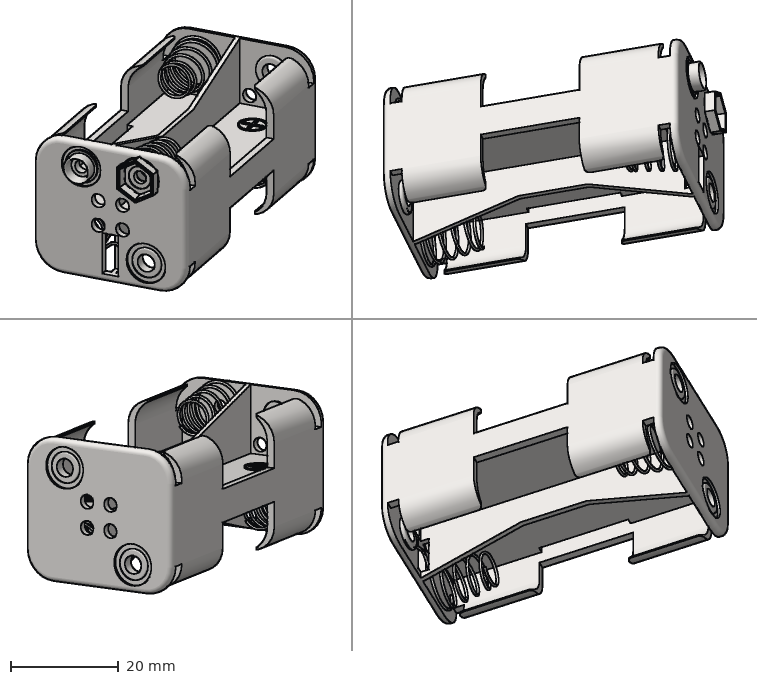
import cadquery as cq
import math

WIDTH = 31.37
HEIGHT = 27.5
LENGTH = 57.15
PLATE = 1.5
CORNER_RADIUS = 5.75
EDGE_RADIUS = 1.0
SIDE = 1.5
FLOOR = 1.2
DIVIDER = 1.0
OVERLAP = 0.2

HALF_LENGTH = LENGTH / 2
WALL_Y = HALF_LENGTH - PLATE
HALF_WIDTH = WIDTH / 2
SIDE_INNER = HALF_WIDTH - SIDE
HALF_HEIGHT = HEIGHT / 2

SIDE_STRAIGHT = HALF_HEIGHT - CORNER_RADIUS
BAND_HALF_HEIGHT = 3.2
LIP_START = 9.55
LIP_END = 24.85
LIP_RADIUS = 5.0
LIP_TIP_X = 11.4
LIP_TIP_THICKNESS = 0.3
LIP_CORNER = 1.0
NOTCH_FLOOR = 7.45

DIVIDER_FLAT_Y = 6.7
DIVIDER_LOW_Z = 7.4
SLIT_LENGTH = 18.1
SLIT_WIDTH = 1.15

VENT_DIAMETER = 2.7
VENT_SPACING = 5.0

BRIDGE_SLOT_WIDTH = 3.25
BRIDGE_SLOT_TOP = -3.9
BRIDGE_SLOT_BOTTOM = -12.15
BRIDGE_SLOT_DEPTH = 1.6

MARK_OUTER = 5.5
MARK_INNER = 5.0
MARK_ARM = 4.1
MARK_STROKE = 0.5
MARK_HEIGHT = 0.2
MARK_CENTRES = [(6.95, 18.9), (-7.4, -18.2)]

SNAP_X = 6.0
SNAP_Z = 8.75
SNAP_HEIGHT = 2.0
SNAP_FLANGE = 6.5
SNAP_HOLE = 2.5
RECESS_DIAMETER = 8.0
RECESS_DEPTH = 0.5
STUD_DIAMETER = 5.5
STUD_MOUTH = 4.5
STUD_FLOOR = 4.0
STUD_HEAD_DIAMETER = 5.0
STUD_HEAD_THICKNESS = 0.35
HEX_FLATS = 7.5
HEX_POCKET_FLATS = 6.45
HEX_POCKET_TAPER = 7.0
HEX_DISH_DIAMETER = 4.5
HEX_DISH_DEPTH = 0.2
HEX_CHAMFER = 0.1

WIRE_RADIUS = 0.25
WIRE_CLEARANCE = 0.02
COIL_BASE_RADIUS = 4.82
COIL_TIP_RADIUS = 3.2
COIL_RISE = 10.0
COIL_TURNS = 4
COIL_CLIMB_START = 0.2
COIL_LEAD_TURNS = 0.75
COIL_END_TURNS = 0.7
COIL_POINTS_PER_TURN = 16
COIL_X = 8.1
COIL_Z = 7.6

EYELET_X = 7.3
EYELET_Z = 8.4
EYELET_HOLE = 3.5
EYELET_SHANK = 4.5
EYELET_HEAD = 6.5
EYELET_HEAD_THICKNESS = 0.9
EYELET_HEAD_ROUND = 0.4
EYELET_RIM = 6.0
EYELET_RIM_THICKNESS = 0.4
EYELET_RIM_ROUND = 0.3
EYELET_JOIN_RADIUS = 2.5

BRIDGE_PEAK_Z = -6.45
BRIDGE_PEAK_HALF = 0.47
CROSS_COIL_END = (-3.4, -8.9)
CROSS_EYELET_END = (4.85, -9.0)
DOWN_WIRE_X = 7.7
PASSAGE_WIDTH = 0.8
PASSAGE_DEPTH = 0.8


def block(x0, x1, y0, y1, z0, z1):
    """Box between two opposite corners."""
    return cq.Workplane("XY").box(x1 - x0, y1 - y0, z1 - z0, centered=False).translate((x0, y0, z0))


def rod(x, z, diameter, y0, y1):
    """Cylinder along Y between y0 and y1."""
    return cq.Workplane("XZ", origin=(x, y0, z)).circle(diameter / 2).extrude(-(y1 - y0))


def hexagon(x, z, flats, y0, y1, taper=0):
    """Hexagonal prism along Y with corners at top and bottom, narrowing toward y1 by the taper."""
    across_corners = flats / math.cos(math.pi / 6)
    prism = cq.Workplane("XZ").polygon(6, across_corners).extrude(-(y1 - y0), taper=taper)
    return prism.rotate((0, 0, 0), (0, 1, 0), 30).translate((x, y0, z))


def end_plate():
    """Front end plate with a rounded outer rim."""
    plate = block(-HALF_WIDTH, HALF_WIDTH, -HALF_LENGTH, -WALL_Y, -HALF_HEIGHT, HALF_HEIGHT)
    return plate.edges("|Y").fillet(CORNER_RADIUS).faces("<Y").edges().fillet(EDGE_RADIUS)


def side_wall():
    """Right side wall with a low middle and open upper corners at the plates."""
    wall = block(SIDE_INNER, HALF_WIDTH, -WALL_Y, WALL_Y, -SIDE_STRAIGHT, SIDE_STRAIGHT)
    for side in (1, -1):
        z0, z1 = sorted((side * BAND_HALF_HEIGHT, side * HALF_HEIGHT))
        wall = wall.cut(block(SIDE_INNER, HALF_WIDTH, -LIP_START, LIP_START, z0, z1))
        y0, y1 = sorted((side * LIP_END, side * WALL_Y))
        wall = wall.cut(block(SIDE_INNER, HALF_WIDTH, y0, y1, NOTCH_FLOOR, HALF_HEIGHT))
    return wall


def lip():
    """Curved grip lip at the upper right rear."""
    centre_x = HALF_WIDTH - LIP_RADIUS
    tip_rise = math.sqrt(LIP_RADIUS**2 - (LIP_TIP_X - centre_x) ** 2)
    inner_rise = tip_rise - LIP_TIP_THICKNESS
    root_z = SIDE_STRAIGHT
    profile = (
        cq.Workplane("XZ", origin=(0, LIP_START, 0))
        .moveTo(SIDE_INNER, root_z - OVERLAP)
        .lineTo(HALF_WIDTH, root_z - OVERLAP)
        .lineTo(HALF_WIDTH, root_z)
        .tangentArcPoint((LIP_TIP_X, root_z + tip_rise), relative=False)
        .lineTo(LIP_TIP_X, root_z + inner_rise)
    )
    inner_run = SIDE_INNER - LIP_TIP_X
    inner_radius = (inner_run**2 + inner_rise**2) / (2 * inner_run)
    half_sweep = math.asin(inner_rise / inner_radius) / 2
    inner_middle = (
        SIDE_INNER - inner_radius * (1 - math.cos(half_sweep)),
        root_z + inner_radius * math.sin(half_sweep),
    )
    profile = profile.threePointArc(inner_middle, (SIDE_INNER, root_z)).close()
    return profile.extrude(-(LIP_END - LIP_START)).edges("|Z and <X").fillet(LIP_CORNER)


def divider():
    """Upright wall along the middle, low at mid length and full height at the plates."""
    corners = [
        (-WALL_Y, HALF_HEIGHT),
        (-DIVIDER_FLAT_Y, DIVIDER_LOW_Z),
        (DIVIDER_FLAT_Y, DIVIDER_LOW_Z),
        (WALL_Y, HALF_HEIGHT),
    ]
    underside = [(y, -z) for y, z in reversed(corners)]
    return cq.Workplane("YZ").polyline(corners + underside).close().extrude(DIVIDER / 2, both=True)


def plus_mark(x, y):
    """Raised ring with a plus sign on the floor."""
    mark = cq.Workplane("XY").circle(MARK_OUTER / 2).circle(MARK_INNER / 2).extrude(MARK_HEIGHT + OVERLAP)
    for length, width in ((MARK_ARM, MARK_STROKE), (MARK_STROKE, MARK_ARM)):
        mark = mark.union(cq.Workplane("XY").rect(length, width).extrude(MARK_HEIGHT + OVERLAP))
    return mark.translate((x, y, FLOOR / 2 - OVERLAP))


def add_snap_base(body, x):
    """Round recess in the front plate, with the flange that carries a snap."""
    body = body.cut(rod(x, SNAP_Z, RECESS_DIAMETER, -HALF_LENGTH, -HALF_LENGTH + RECESS_DEPTH))
    return body.union(rod(x, SNAP_Z, SNAP_FLANGE, -HALF_LENGTH, -WALL_Y))


def add_stud(body):
    """Male snap: round stud with a bore and a thin head inside the housing."""
    body = add_snap_base(body, -SNAP_X)
    outer = STUD_DIAMETER / 2
    mouth = STUD_MOUTH / 2
    rim_radius = (outer - mouth) / 2
    stud = (
        cq.Workplane("XY")
        .moveTo(STUD_FLOOR / 2, 0)
        .lineTo(mouth, rim_radius - SNAP_HEIGHT)
        .threePointArc((mouth + rim_radius, -SNAP_HEIGHT), (outer, rim_radius - SNAP_HEIGHT))
        .lineTo(outer, PLATE)
        .lineTo(STUD_FLOOR / 2, PLATE)
        .close()
        .revolve(360, (0, 0, 0), (0, 1, 0))
        .translate((-SNAP_X, -HALF_LENGTH, SNAP_Z))
    )
    head_y = -WALL_Y + STUD_HEAD_THICKNESS
    head = rod(-SNAP_X, SNAP_Z, STUD_HEAD_DIAMETER, -HALF_LENGTH + RECESS_DEPTH, head_y)
    return body.union(stud).union(head).cut(rod(-SNAP_X, SNAP_Z, SNAP_HOLE, -HALF_LENGTH, head_y))


def add_socket(body):
    """Female snap: hollow hexagon with a shallow dish and a hole in its floor."""
    tip_y = -HALF_LENGTH - SNAP_HEIGHT
    body = add_snap_base(body, SNAP_X)
    socket = hexagon(SNAP_X, SNAP_Z, HEX_FLATS, tip_y, -HALF_LENGTH)
    pocket = hexagon(SNAP_X, SNAP_Z, HEX_POCKET_FLATS, tip_y, -HALF_LENGTH, HEX_POCKET_TAPER)
    socket = socket.cut(pocket)
    socket = socket.faces("<Y").edges().chamfer(HEX_CHAMFER)
    body = body.union(socket)
    body = body.cut(rod(SNAP_X, SNAP_Z, HEX_DISH_DIAMETER, -HALF_LENGTH, -HALF_LENGTH + HEX_DISH_DEPTH))
    return body.cut(rod(SNAP_X, SNAP_Z, SNAP_HOLE, tip_y, -WALL_Y))


def eyelet_seat():
    """Hole and outside recess for an eyelet in the front plate, centred on Y."""
    seat = rod(0, 0, RECESS_DIAMETER, -HALF_LENGTH, -HALF_LENGTH + RECESS_DEPTH)
    return seat.union(rod(0, 0, EYELET_SHANK, -HALF_LENGTH, -WALL_Y))


def build_housing():
    front_plate = end_plate()
    body = front_plate.union(front_plate.mirror("XZ"))
    body = body.union(block(-SIDE_INNER, SIDE_INNER, -WALL_Y, WALL_Y, -FLOOR / 2, FLOOR / 2))
    body = body.union(divider())

    wall = side_wall()
    body = body.union(wall).union(wall.mirror("YZ"))
    upper_lips = lip().union(lip().mirror("XZ"))
    upper_lips = upper_lips.union(upper_lips.mirror("YZ"))
    body = body.union(upper_lips).union(upper_lips.mirror("XY"))

    slit = block(SIDE_INNER - SLIT_WIDTH, SIDE_INNER, -SLIT_LENGTH / 2, SLIT_LENGTH / 2, -FLOOR, FLOOR)
    body = body.cut(slit).cut(slit.mirror("YZ"))

    for x in (-VENT_SPACING / 2, VENT_SPACING / 2):
        for z in (-VENT_SPACING / 2, VENT_SPACING / 2):
            body = body.cut(rod(x, z, VENT_DIAMETER, -HALF_LENGTH, -WALL_Y))
            body = body.cut(rod(x, z, VENT_DIAMETER, WALL_Y, HALF_LENGTH))

    body = body.cut(block(
        -BRIDGE_SLOT_WIDTH / 2, BRIDGE_SLOT_WIDTH / 2,
        -HALF_LENGTH, -WALL_Y + BRIDGE_SLOT_DEPTH,
        BRIDGE_SLOT_BOTTOM, BRIDGE_SLOT_TOP,
    ))
    for x, y in MARK_CENTRES:
        body = body.union(plus_mark(x, y))

    body = add_socket(add_stud(body))

    rear_seat = eyelet_seat().mirror("XZ")
    body = body.cut(eyelet_seat().translate((EYELET_X, 0, -EYELET_Z)))
    for side in (-1, 1):
        body = body.cut(rear_seat.translate((side * EYELET_X, 0, side * EYELET_Z)))
        x = side * DOWN_WIRE_X
        half = PASSAGE_WIDTH / 2
        body = body.cut(block(x - half, x + half, WALL_Y - PASSAGE_DEPTH, WALL_Y, -FLOOR, FLOOR))
    return body


WIRE_Y = -WALL_Y + WIRE_CLEARANCE + WIRE_RADIUS


def coil_spring(x, z, hand=1):
    """Tapered spring on the inside of the front plate; hand -1 winds it the other way."""
    def centre_at(turn):
        climb = min(max(turn / COIL_TURNS, 0), 1)
        radius = COIL_BASE_RADIUS + (COIL_TIP_RADIUS - COIL_BASE_RADIUS) * climb
        angle = hand * 2 * math.pi * (turn + COIL_CLIMB_START)
        return cq.Vector(
            x + radius * math.cos(angle),
            WIRE_Y + COIL_RISE * climb,
            z + radius * math.sin(angle),
        )

    turns = COIL_LEAD_TURNS + COIL_TURNS + COIL_END_TURNS
    steps = round(turns * COIL_POINTS_PER_TURN)
    points = [centre_at(-COIL_LEAD_TURNS + turns * step / steps) for step in range(steps + 1)]
    path = cq.Edge.makeSpline(points)
    section = cq.Workplane(cq.Plane(points[0], normal=path.tangentAt(0))).circle(WIRE_RADIUS)
    return section.sweep(cq.Workplane(path), isFrenet=True)


def eyelet(x, z):
    """Hollow eyelet clinched through the front plate."""
    shank = rod(x, z, EYELET_SHANK, -HALF_LENGTH + RECESS_DEPTH, -WALL_Y)
    head = rod(x, z, EYELET_HEAD, -WALL_Y, -WALL_Y + EYELET_HEAD_THICKNESS).edges().fillet(EYELET_HEAD_ROUND)
    recess_y = -HALF_LENGTH + RECESS_DEPTH
    rim = rod(x, z, EYELET_RIM, recess_y - EYELET_RIM_THICKNESS, recess_y)
    rim = rim.faces("<Y").edges().fillet(EYELET_RIM_ROUND)
    bore = rod(x, z, EYELET_HOLE, -HALF_LENGTH, -WALL_Y + EYELET_HEAD_THICKNESS)
    return shank.union(head).union(rim).cut(bore)


def bridge_wire(points):
    """Wire lying on the front plate through the given X, Z points."""
    path = cq.Workplane("XY").polyline([(x, WIRE_Y, z) for x, z in points])
    direction = (points[1][0] - points[0][0], 0, points[1][1] - points[0][1])
    start = cq.Plane((points[0][0], WIRE_Y, points[0][1]), normal=direction)
    return cq.Workplane(start).circle(WIRE_RADIUS).sweep(path, transition="round")


def build_front_contact():
    """Lower contact: left spring joined to the right eyelet across the divider."""
    wire = bridge_wire([
        CROSS_COIL_END,
        (-BRIDGE_PEAK_HALF, BRIDGE_PEAK_Z),
        (BRIDGE_PEAK_HALF, BRIDGE_PEAK_Z),
        CROSS_EYELET_END,
    ])
    return eyelet(EYELET_X, -EYELET_Z).union(wire).union(coil_spring(-COIL_X, -COIL_Z))


def build_rear_contacts():
    """Two contacts on the rear plate, each joining an upper and a lower cell."""
    wire = bridge_wire([
        (DOWN_WIRE_X, COIL_Z - COIL_BASE_RADIUS + WIRE_RADIUS),
        (DOWN_WIRE_X, -EYELET_Z + EYELET_JOIN_RADIUS),
    ])
    contact = eyelet(EYELET_X, -EYELET_Z).union(wire).union(coil_spring(COIL_X, COIL_Z, hand=-1))
    left = contact.rotate((0, 0, 0), (0, 0, 1), 180)
    right = left.rotate((0, 0, 0), (0, 1, 0), 180)
    return [left, right]


housing = build_housing()
socket_spring = coil_spring(SNAP_X, SNAP_Z)
front_contact = build_front_contact()
rear_contacts = build_rear_contacts()

result = cq.Compound.makeCompound([
    housing.solids().val(),
    socket_spring.solids().val(),
    front_contact.solids().val(),
    *[contact.solids().val() for contact in rear_contacts],
])